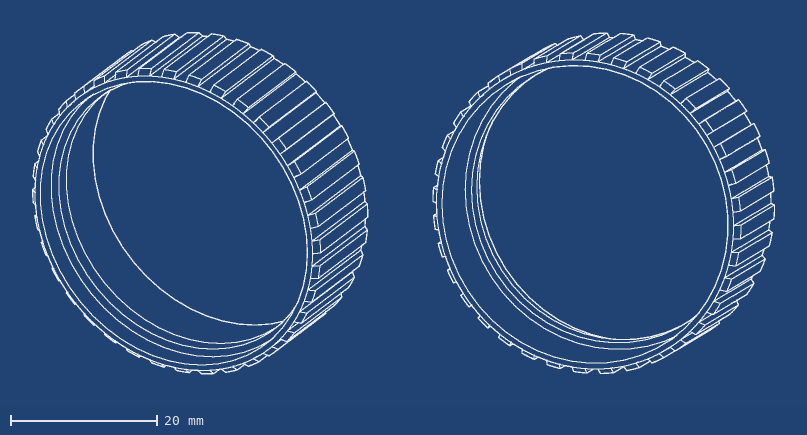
import cadquery as cq

outer_diameter = 44.7
ring_diameter = 43.1
end_bore_diameter = 41.5
ridge_diameter = 39.65
width = 15.25

ridge_start = 3.15
ridge_cone_length = 0.55
ridge_land = 2.15

rib_count = 36
rib_angle = 5.0
first_rib_angle = rib_angle

outer_radius = outer_diameter / 2
ring_radius = ring_diameter / 2
end_bore_radius = end_bore_diameter / 2
ridge_radius = ridge_diameter / 2
front = -width / 2
back = width / 2
rib_height = outer_radius - ring_radius
rib_pitch = 360 / rib_count


def revolve_about_y(profile):
    """Revolve an outline of (radius, y) points about the Y axis."""
    return cq.Workplane("XY").polyline(profile).close().revolve(360, (0, 0, 0), (0, 1, 0))


def ring_with_ridge():
    cone_start = front + ridge_start
    land_start = cone_start + ridge_cone_length
    land_end = land_start + ridge_land
    return revolve_about_y([
        (ring_radius, front),
        (end_bore_radius, front),
        (end_bore_radius, cone_start),
        (ridge_radius, land_start),
        (ridge_radius, land_end),
        (end_bore_radius, land_end),
        (end_bore_radius, back),
        (ring_radius, back),
    ])


def grip_rib(start_angle):
    """One rib with radial sides and 45 degree ends, sunk to mid-wall so it joins the ring."""
    root_radius = (ring_radius + end_bore_radius) / 2
    return (
        cq.Workplane("XY")
        .polyline([
            (root_radius, front),
            (ring_radius, front),
            (outer_radius, front + rib_height),
            (outer_radius, back - rib_height),
            (ring_radius, back),
            (root_radius, back),
        ])
        .close()
        .revolve(rib_angle, (0, 0, 0), (0, 1, 0))
        .rotate((0, 0, 0), (0, 1, 0), start_angle)
    )


result = ring_with_ridge()
for index in range(rib_count):
    result = result.union(grip_rib(first_rib_angle + index * rib_pitch))